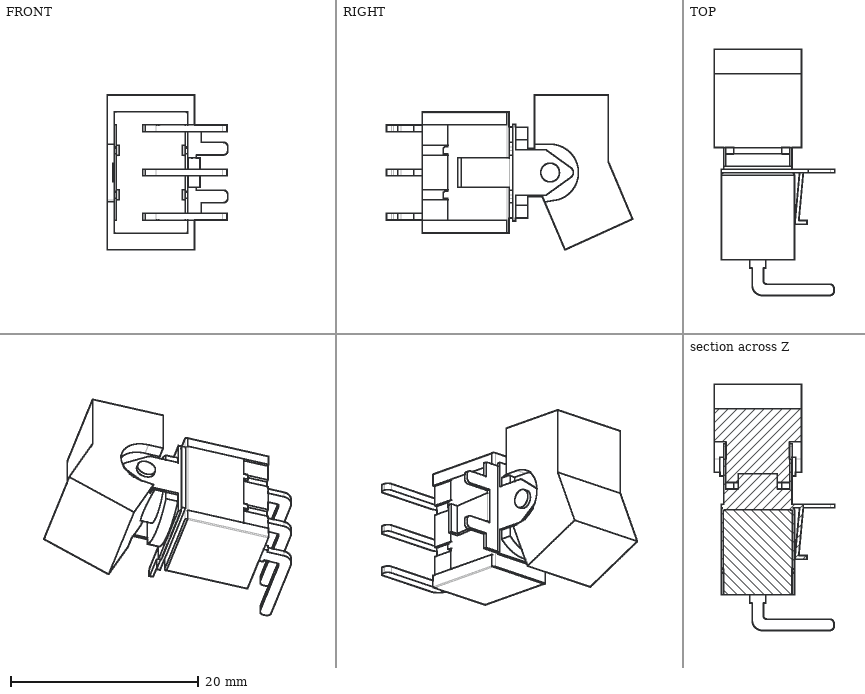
import cadquery as cq
import math


BIG = 26.3

sheet = 0.25
case_width = 7.83
case_height = 12.93
case_bottom = -9.28
case_edge_radius = 0.1
inner_bend_radius = 0.15
arm_width = 10.2
arm_end = -6.52
hook_pitch = 4.73
hook_width = 0.74
hook_length = 0.47
hook_chamfer = 0.13
groove_width = 1.08
groove_depth = 0.32

mount_thickness = 0.4
mount_height = 9.73
mount_edge = 5.4
leg_tip = 8.23
leg_inner = 1.87
leg_outer = 3.23
tip_radius = 0.5
clip_notch_edge = 4.86
clip_width = 3.15
clip_thickness = 0.42
clip_gap = 0.05
clip_foot_end = 5.25
clip_foot_top = -5.07

bracket_thickness = 0.32
bracket_width = 7.3
bracket_height = 10.35
ear_half_height = 2.45
ear_shoulder = 3.92
ear_tip = 6.85
ear_tip_radius = 0.63
collar_radius = 4.86
collar_top = 2.02
bushing_radius = 2.58
bushing_top = 3.68

rocker_width = 9.33
rocker_profile = [
    (10.6, 8.28),
    (10.6, 1.18),
    (13.2, -4.97),
    (5.97, -8.25),
    (2.7, -0.6),
    (2.7, 8.28),
]
pivot_y = 4.4
pivot_radius = 1.0
pivot_protrusion = 0.4
recess_radius = 3.02
recess_lower_start = 0.87
recess_lower_angle = 9.5

terminal_pitch = 4.7
terminal_thickness = 0.74
terminal_width = 1.24
terminal_shoulder_width = 1.74
terminal_shoulder_end = -10.15
terminal_bottom = -13.1
terminal_tip = 8.15
terminal_outer_bend = 1.13
terminal_inner_bend = 0.32

half_case = case_width / 2
ear_outer = bracket_width / 2
ear_inner = ear_outer - sheet
bracket_top = mount_thickness + bracket_thickness
hook_centers = [-hook_pitch / 2, hook_pitch / 2]


def block(x_range, y_range, z_range):
    """Axis-aligned box between the given pairs of limits."""
    size = [high - low for low, high in (x_range, y_range, z_range)]
    corner = (x_range[0], y_range[0], z_range[0])
    return cq.Workplane("XY").box(*size, centered=False).translate(corner)


def centered_block(width, y_range, height):
    """Box centered on X = 0 and Z = 0."""
    return block((-width / 2, width / 2), y_range, (-height / 2, height / 2))


def y_cylinder(radius, bottom, top):
    """Cylinder around the Y axis."""
    return cq.Workplane("XZ", origin=(0, bottom, 0)).circle(radius).extrude(bottom - top)


def both_sides(body):
    """The body together with its mirror image across X = 0."""
    return body.union(body.mirror("YZ"))


def frame_channel():
    """Base plate with rounded bends and a narrower arm down each side of the case."""
    channel = centered_block(case_width, (arm_end, 0), case_height).edges(">Y and |Z").fillet(sheet)
    inside = centered_block(case_width - 2 * sheet, (arm_end, -sheet), case_height)
    inside = inside.edges(">Y and |Z").fillet(inner_bend_radius)
    arms_and_bends = channel.cut(inside).intersect(centered_block(BIG, (-BIG, BIG), arm_width))
    base_plate = channel.intersect(centered_block(BIG, (-sheet, 0), case_height))
    return base_plate.union(arms_and_bends)


def hook(center_z):
    """Small tongue at the end of the -X arm, with one chamfered corner."""
    tongue = block(
        (-half_case, -half_case + sheet),
        (arm_end - hook_length, arm_end),
        (center_z - hook_width / 2, center_z + hook_width / 2),
    )
    return tongue.edges("<Y and >Z").chamfer(hook_chamfer)


def mounting_plate():
    """Plate on top of the base plate whose two solder legs reach out along +X."""
    plate = block((-half_case, mount_edge), (0, mount_thickness), (-mount_height / 2, mount_height / 2))
    plate = plate.cut(block((clip_notch_edge, BIG), (-BIG, BIG), (-leg_inner, leg_inner)))
    for z_range in [(leg_inner, leg_outer), (-leg_outer, -leg_inner)]:
        leg = block((clip_notch_edge, leg_tip), (0, mount_thickness), z_range)
        plate = plate.union(leg.edges(">X and |Y").fillet(tip_radius))
    return plate


def spring_clip():
    """Strip that leans from the mounting plate toward the case and ends in a foot."""
    inner_bottom = half_case + clip_gap
    profile = [
        (clip_notch_edge, 0),
        (clip_notch_edge - clip_thickness, 0),
        (inner_bottom, clip_foot_top),
        (inner_bottom, clip_foot_top - clip_thickness),
        (clip_foot_end, clip_foot_top - clip_thickness),
        (clip_foot_end, clip_foot_top),
        (inner_bottom + clip_thickness, clip_foot_top),
    ]
    return cq.Workplane("XY").polyline(profile).close().extrude(clip_width / 2, both=True)


def ear():
    """Pointed ear at -X with a round tip and a hole for the rocker pivot."""
    tip_center = ear_tip - ear_tip_radius
    run = tip_center - ear_shoulder
    distance = math.hypot(run, ear_half_height)
    touch_angle = math.acos(ear_tip_radius / distance) - math.atan2(ear_half_height, -run)
    touch_y = tip_center + ear_tip_radius * math.cos(touch_angle)
    touch_z = abs(ear_tip_radius * math.sin(touch_angle))
    return (
        cq.Workplane("YZ", origin=(-ear_outer, 0, 0))
        .moveTo(mount_thickness, -ear_half_height)
        .lineTo(ear_shoulder, -ear_half_height)
        .lineTo(touch_y, -touch_z)
        .threePointArc((ear_tip, 0), (touch_y, touch_z))
        .lineTo(ear_shoulder, ear_half_height)
        .lineTo(mount_thickness, ear_half_height)
        .close()
        .extrude(sheet)
        .cut(pivot_pin())
    )


def pivot_pin():
    """Pivot pin of the -X side, from the inner face of the ear outward."""
    start = cq.Workplane("YZ", origin=(-ear_inner, 0, 0))
    return start.center(pivot_y, 0).circle(pivot_radius).extrude(-(sheet + pivot_protrusion))


def bushing():
    """Round neck on a wider collar that has flats against the ears."""
    collar = y_cylinder(collar_radius, mount_thickness, collar_top)
    collar = collar.intersect(centered_block(2 * ear_inner, (-BIG, BIG), BIG))
    return collar.union(bushing_neck())


def bushing_neck():
    """Round neck that reaches from the mounting plate into the rocker."""
    return y_cylinder(bushing_radius, mount_thickness, bushing_top)


def make_frame():
    frame = frame_channel()
    for center_z in hook_centers:
        frame = frame.union(both_sides(hook(center_z)))
    frame = frame.union(mounting_plate()).union(spring_clip())
    frame = frame.union(centered_block(bracket_width, (mount_thickness, bracket_top), bracket_height))
    return frame.union(both_sides(ear())).union(bushing())


def make_case(frame):
    """Plastic case with side recesses that the frame arms fit into."""
    case = centered_block(case_width, (case_bottom, -sheet), case_height)
    case = case.edges("|Y").fillet(case_edge_radius)
    recess_floor = half_case - sheet
    arm_recess = block((-BIG, -recess_floor), (-BIG, 0), (-arm_width / 2, arm_width / 2))
    case = case.cut(both_sides(arm_recess))
    for center_z in hook_centers:
        z_range = (center_z - groove_width / 2, center_z + groove_width / 2)
        groove = block((-BIG, -recess_floor + groove_depth), (-BIG, 0), z_range)
        case = case.cut(both_sides(groove))
    return case.cut(frame)


def rocker_recess():
    """Recess in the -X side that leaves room for the ear; open toward -Y."""
    arc_end_z = -math.sqrt(recess_radius**2 - recess_lower_start**2)
    lower_run = pivot_y + recess_lower_start
    lower_end_z = arc_end_z - lower_run * math.tan(math.radians(recess_lower_angle))
    return (
        cq.Workplane("YZ", origin=(-ear_inner, 0, 0))
        .moveTo(0, recess_radius)
        .lineTo(pivot_y, recess_radius)
        .threePointArc((pivot_y + recess_radius, 0), (pivot_y + recess_lower_start, arc_end_z))
        .lineTo(0, lower_end_z)
        .close()
        .extrude(-BIG)
    )


def make_rocker():
    """Bent rocker with side recesses, pivot pins and a bore for the bushing neck."""
    rocker = cq.Workplane("YZ").polyline(rocker_profile).close().extrude(rocker_width / 2, both=True)
    rocker = rocker.cut(both_sides(rocker_recess())).cut(bushing_neck())
    return rocker.union(both_sides(pivot_pin()))


def make_terminal(center_z):
    """Flat terminal bent toward +X, with a shoulder against the case."""
    stem_x = terminal_width / 2
    side = (center_z - terminal_thickness / 2, center_z + terminal_thickness / 2)
    stem = block((-stem_x, stem_x), (terminal_bottom, case_bottom), side)
    foot = block((-stem_x, terminal_tip), (terminal_bottom, terminal_bottom + terminal_width), side)
    shoulder_x = terminal_shoulder_width / 2
    shoulder = block((-shoulder_x, shoulder_x), (terminal_shoulder_end, case_bottom), side)
    inner_corner = (stem_x, terminal_bottom + terminal_width, center_z)
    terminal = stem.union(foot)
    terminal = terminal.edges("<X and <Y and |Z").fillet(terminal_outer_bend)
    terminal = terminal.edges(cq.selectors.NearestToPointSelector(inner_corner)).fillet(terminal_inner_bend)
    terminal = terminal.edges(">X and |Z").fillet(tip_radius)
    return terminal.union(shoulder)


frame = make_frame()
case = make_case(frame)
rocker = make_rocker()
terminals = [make_terminal(row * terminal_pitch) for row in (-1, 0, 1)]

result = cq.Compound.makeCompound(
    [frame.val(), case.val(), rocker.val(), *[terminal.val() for terminal in terminals]]
)